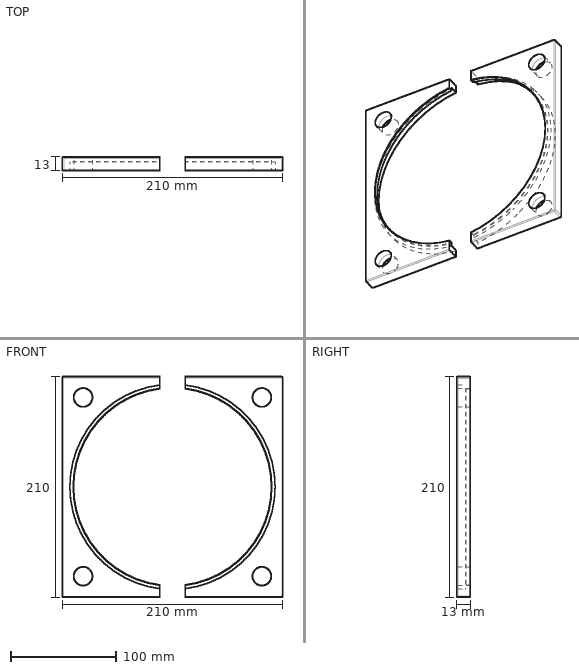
import cadquery as cq

side = 210.0
thickness = 13.0
gap = 24.0
corner_radius = 1.5
face_edge_radius = 1.0

lip_radius = 94.0
step_radius = 97.6
step_depth = 8.5
lip_chamfer = 0.5

hole_diameter = 17.6
hole_spacing = 170.0

front_y = -thickness / 2
back_y = thickness / 2


def bore_cutter():
    """Revolved cutter for the wide step and the lip with both its edges chamfered."""
    profile = (
        cq.Workplane("XY")
        .moveTo(0, front_y)
        .lineTo(step_radius, front_y)
        .lineTo(step_radius, front_y + step_depth)
        .lineTo(lip_radius + lip_chamfer, front_y + step_depth)
        .lineTo(lip_radius, front_y + step_depth + lip_chamfer)
        .lineTo(lip_radius, back_y - lip_chamfer)
        .lineTo(lip_radius + lip_chamfer, back_y)
        .lineTo(0, back_y)
        .close()
    )
    return profile.revolve(360, (0, 0, 0), (0, 1, 0))


def mounting_holes():
    """Four through-hole cutters on a square pattern."""
    return (
        cq.Workplane("XZ")
        .rect(hole_spacing, hole_spacing, forConstruction=True)
        .vertices()
        .circle(hole_diameter / 2)
        .extrude(thickness, both=True)
    )


def half_plate(direction):
    """One half of the plate: direction is -1 for the left half, 1 for the right."""
    half_width = (side - gap) / 2
    center_x = direction * (gap + half_width) / 2
    plate = cq.Workplane("XY").box(side, thickness, side)
    cornered_plate = plate.edges("|Y").fillet(corner_radius)
    rounded_plate = cornered_plate.faces("<Y or >Y").edges().fillet(face_edge_radius)
    half_space = cq.Workplane("XY").box(half_width, thickness, side).translate((center_x, 0, 0))
    return rounded_plate.intersect(half_space).cut(bore_cutter()).cut(mounting_holes())


half_plates = [half_plate(direction) for direction in (-1, 1)]

result = cq.Compound.makeCompound([half.val() for half in half_plates])